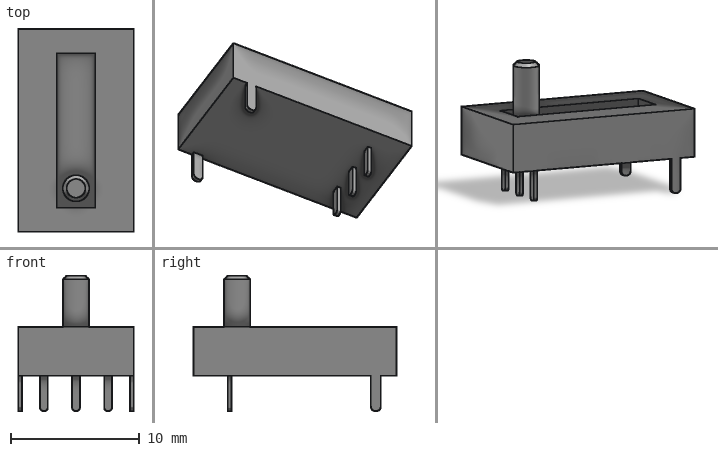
import cadquery as cq

housing_width = 9.0
housing_length = 15.8
housing_height = 3.8

slot_width = 3.0
slot_length = 12.01
slot_depth = 1.0
slot_floor = housing_height - slot_depth

lever_diameter = 2.05
lever_rise = 4.0
lever_y = -4.5
lever_edge_chamfer = 0.3

pin_length = 2.75
pin_thickness = 0.32
contact_width = 0.63
contact_tip_radius = 0.3
contact_pitch = 2.5
contact_count = 3
contact_y = -5.09
tab_width = 0.79
tab_tip_radius = 0.38
tab_y = 6.29
tab_x = (housing_width - pin_thickness) / 2


def make_pin(width, tip_radius):
    """Flat pin hanging down from Z = 0, wide in X, with rounded tip corners."""
    return (
        cq.Workplane("XY")
        .box(width, pin_thickness, pin_length, centered=(True, True, False))
        .edges("|Y and <Z")
        .fillet(tip_radius)
        .translate((0, 0, -pin_length))
    )


def make_housing():
    """Slotted block with its row of contacts and two side tabs."""
    body = cq.Workplane("XY").box(
        housing_width, housing_length, housing_height, centered=(True, True, False)
    )
    slot = (
        cq.Workplane("XY")
        .box(slot_width, slot_length, slot_depth, centered=(True, True, False))
        .translate((0, 0, slot_floor))
    )
    body = body.cut(slot)

    contact = make_pin(contact_width, contact_tip_radius)
    for index in range(contact_count):
        contact_x = (index - (contact_count - 1) / 2) * contact_pitch
        body = body.union(contact.translate((contact_x, contact_y, 0)))

    tab = make_pin(tab_width, tab_tip_radius).rotate((0, 0, 0), (0, 0, 1), 90)
    for side in (-1, 1):
        body = body.union(tab.translate((side * tab_x, tab_y, 0)))
    return body


def make_lever():
    """Round lever standing on the slot floor, with a chamfered top edge."""
    return (
        cq.Workplane("XY", origin=(0, lever_y, slot_floor))
        .circle(lever_diameter / 2)
        .extrude(slot_depth + lever_rise)
        .faces(">Z")
        .edges()
        .chamfer(lever_edge_chamfer)
    )


housing = make_housing()
lever = make_lever()

result = cq.Compound.makeCompound([housing.val(), lever.val()])